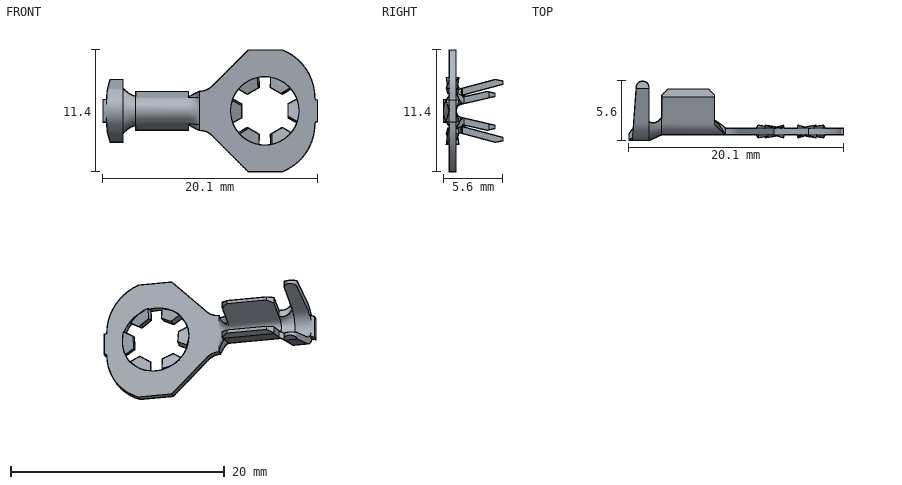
import cadquery as cq
import math

sheet = 0.65

hole_radius = 3.2
half_height = 5.71
flat_left = -1.55
flat_right = 1.65
rim_radius = 4.85
rim_center_x = -0.15
rim_center_z = 1.2
neck_half_width = 1.85
neck_x = -6.1
neck_fillet = 1.6
shoulder_angle = 45
overall_length = 20.12
nose_x = 4.95
nose_half_width = 1.03

tooth_count = 6
tooth_inner = 2.15
tooth_twist = -15
slot_half_width = 0.56

wire_left = -12.1
wire_right = -7.12
wire_bottom = 0
wire_radius = 1.27
wire_flare = 13
wire_top = 4.3
wire_bevel = 0.75
wire_corner = 0.58

grip_left = -14.85
grip_tip_left = -14.49
grip_right = -13.28
grip_bottom = -0.55
grip_radius = 2.15
grip_flare = 15
overall_depth = 5.6
grip_top = grip_bottom + overall_depth
grip_tip_round = 0.52
grip_bevel = 0.72

tip_thickness = 0.32

edge_at_grip = 1.27
edge_at_wire_left = 1.65
edge_at_wire_right = 1.39
waist_x = -12.68
waist_radius = 1.6
waist_bottom = -0.26
waist_edge = 1.17

opening_x = (wire_right + neck_x) / 2
opening_radius = 1.87
opening_flare = 48
opening_edge = 1.05
opening_bevel = 0.25

stub_x = nose_x - overall_length
stub_half_width = 1.07


def half_channel(x, bottom, radius, flare, top, bevel=0, tip=0):
    """Upper half of a U section at the given X, opening to +Y, its wing flared out to the level `top`.

    The outer face of the wing ends lower by `bevel`; a flat of width `tip` may cap the bevel.
    """
    slope = math.tan(math.radians(flare))
    inner = radius - sheet
    center = bottom + radius

    def bend_point(arc_radius, angle):
        turn = math.radians(angle)
        return (center - arc_radius * math.cos(turn), arc_radius * math.sin(turn))

    bend = 90 - flare
    outer_start = bend_point(radius, bend)
    inner_start = bend_point(inner, bend)
    outer_end = (top - bevel, outer_start[1] + (top - bevel - outer_start[0]) * slope)
    inner_end = (top, inner_start[1] + (top - inner_start[0]) * slope)
    section = (
        cq.Workplane("YZ", origin=(x, 0, 0))
        .moveTo(*inner_start)
        .threePointArc(bend_point(inner, bend / 2), (bottom + sheet, 0))
        .lineTo(bottom, 0)
        .threePointArc(bend_point(radius, bend / 2), outer_start)
        .lineTo(*outer_end)
    )
    if tip:
        section = section.lineTo(top, inner_end[1] + tip)
    return section.lineTo(*inner_end).close()


def blend(*sections, ruled=True):
    """Transition through the given sections, straight-sided or smoothly curved."""
    wires = [section.val() for section in sections]
    return cq.Workplane(cq.Solid.makeLoft(wires, ruled))


def both_halves(half):
    """The half above Z = 0 joined to its mirror image."""
    return half.union(half.mirror("XY"))


def ring():
    """Ring tongue with its sloped shoulders, flats, rounded rim and small nose."""
    run = math.cos(math.radians(shoulder_angle))
    rise = math.sin(math.radians(shoulder_angle))
    half_turn = math.radians(shoulder_angle / 2)
    corner_x = flat_left - (half_height - neck_half_width) * run / rise
    tangent = neck_fillet * math.tan(half_turn)
    fillet_start = corner_x - tangent
    fillet_mid = (fillet_start + neck_fillet * math.sin(half_turn),
                  neck_half_width + neck_fillet * (1 - math.cos(half_turn)))
    fillet_end = (corner_x + tangent * run, neck_half_width + tangent * rise)

    rim_start_angle = math.asin((half_height - rim_center_z) / rim_radius)
    rim_mid = (rim_center_x + rim_radius * math.cos(rim_start_angle / 2),
               rim_center_z + rim_radius * math.sin(rim_start_angle / 2))
    rim_end = (rim_center_x + rim_radius, rim_center_z)
    quarter_mid = math.sqrt(0.5)
    nose_fillet = rim_center_z - nose_half_width
    nose_mid = (rim_end[0] + nose_fillet * (1 - quarter_mid), rim_center_z - nose_fillet * quarter_mid)

    half = (
        cq.Workplane("XZ")
        .moveTo(neck_x, 0)
        .lineTo(neck_x, neck_half_width)
        .lineTo(fillet_start, neck_half_width)
        .threePointArc(fillet_mid, fillet_end)
        .lineTo(flat_left, half_height)
        .lineTo(flat_right, half_height)
        .threePointArc(rim_mid, rim_end)
        .threePointArc(nose_mid, (rim_end[0] + nose_fillet, nose_half_width))
        .lineTo(nose_x, nose_half_width)
        .lineTo(nose_x, 0)
        .close()
        .extrude(-sheet)
    )
    hole = cq.Workplane("XZ").circle(hole_radius).extrude(-sheet)
    return both_halves(half).cut(hole)


def tooth(angle):
    """One tooth, twisted about its radial axis and ending at the hole wall."""
    slot_angle = math.pi / tooth_count

    def half_width(x):
        return (x * math.sin(slot_angle) - slot_half_width) / math.cos(slot_angle)

    root = hole_radius + sheet
    blade = (
        cq.Workplane("XZ", origin=(0, sheet, 0))
        .polyline([
            (tooth_inner, -half_width(tooth_inner)),
            (root, -half_width(root)),
            (root, half_width(root)),
            (tooth_inner, half_width(tooth_inner)),
        ])
        .close()
        .extrude(sheet)
        .rotate((0, sheet / 2, 0), (1, sheet / 2, 0), tooth_twist)
    )
    bore = cq.Workplane("XZ", origin=(0, 2 * sheet, 0)).circle(hole_radius).extrude(3 * sheet)
    return blade.intersect(bore).rotate((0, 0, 0), (0, 1, 0), angle)


def wire_crimp():
    """Wire crimp with bevelled wing tips and chamfered corners."""
    body = half_channel(wire_left, wire_bottom, wire_radius, wire_flare, wire_top, wire_bevel, tip_thickness)
    body = body.extrude(wire_right - wire_left)
    side = (
        cq.Workplane("XY")
        .polyline([
            (wire_left, wire_bottom),
            (wire_right, wire_bottom),
            (wire_right, wire_top - wire_corner),
            (wire_right - wire_corner, wire_top),
            (wire_left + wire_corner, wire_top),
            (wire_left, wire_top - wire_corner),
        ])
        .close()
        .extrude(half_height, both=True)
    )
    return body.intersect(side)


def insulation_crimp():
    """Insulation crimp with rounded wing tips and a leaning left edge."""
    body = half_channel(grip_left, grip_bottom, grip_radius, grip_flare, grip_top, grip_bevel, tip_thickness)
    body = body.extrude(grip_right - grip_left)
    round_start = grip_top - grip_tip_round
    side = (
        cq.Workplane("XY")
        .moveTo(grip_left, grip_bottom)
        .lineTo(grip_right, grip_bottom)
        .lineTo(grip_right, round_start)
        .threePointArc(((grip_tip_left + grip_right) / 2, grip_top), (grip_tip_left, round_start))
        .close()
        .extrude(half_height, both=True)
    )
    return body.intersect(side)


def grip_transition():
    """Waisted transition between the two crimps."""
    return blend(
        half_channel(grip_right, grip_bottom, grip_radius, grip_flare, edge_at_grip),
        half_channel(waist_x, waist_bottom, waist_radius, grip_flare, waist_edge),
        half_channel(wire_left, wire_bottom, wire_radius, wire_flare, edge_at_wire_left),
        ruled=False,
    )


def neck_transition():
    """Transition that flattens the wire crimp into the neck of the ring."""
    flat = (
        cq.Workplane("YZ", origin=(neck_x, 0, 0))
        .polyline([
            (sheet, wire_radius),
            (sheet, 0),
            (0, 0),
            (0, wire_radius),
            (0, neck_half_width),
            (sheet, neck_half_width),
        ])
        .close()
    )
    return blend(
        half_channel(wire_right, wire_bottom, wire_radius, wire_flare, edge_at_wire_right),
        half_channel(opening_x, wire_bottom, opening_radius, opening_flare, opening_edge, opening_bevel),
        flat,
        ruled=False,
    )


def stub():
    """Flat cut-off stub that runs into the bottom of the insulation crimp."""
    center = grip_bottom + grip_radius
    inner = grip_radius - sheet
    arc_mid_z = stub_half_width / 2
    flat_end = (
        cq.Workplane("YZ", origin=(stub_x, 0, 0))
        .polyline([
            (grip_bottom, 0),
            (grip_bottom, stub_half_width),
            (grip_bottom + sheet, stub_half_width),
            (grip_bottom + sheet, 0),
        ])
        .close()
    )

    def arc_point(arc_radius, z):
        return (center - math.sqrt(arc_radius ** 2 - z ** 2), z)

    def curved_end():
        return (
            cq.Workplane("YZ", origin=(grip_left, 0, 0))
            .moveTo(grip_bottom, 0)
            .threePointArc(arc_point(grip_radius, arc_mid_z), arc_point(grip_radius, stub_half_width))
            .lineTo(*arc_point(inner, stub_half_width))
            .threePointArc(arc_point(inner, arc_mid_z), (grip_bottom + sheet, 0))
            .close()
        )

    root = curved_end().extrude(sheet)
    return blend(flat_end, curved_end()).union(root)


result = ring()
for index in range(tooth_count):
    result = result.union(tooth(index * 360 / tooth_count))
for half in (neck_transition(), wire_crimp(), grip_transition(), insulation_crimp(), stub()):
    result = result.union(both_halves(half))